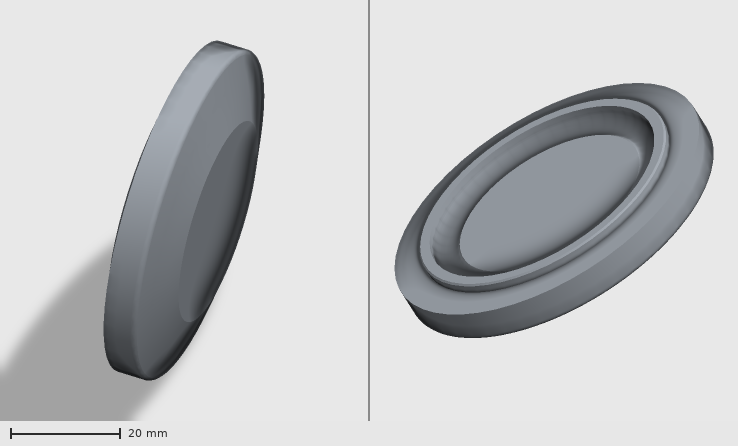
import cadquery as cq

total_depth = 11.5
flange_radius = 31.5
spigot_radius = 25.5
spigot_depth = 1.8
spigot_chamfer = 0.3
cone_start_x = 7.9
cone_end_radius = 19.15
shoulder_fillet = 1.0

recess_radius = 23.25
wall_depth = 1.3
floor_radius = 18.6
floor_depth = 2.9


def revolve_about_x(profile):
    return profile.close().revolve(360, (0, 0, 0), (1, 0, 0))


def make_body():
    body = revolve_about_x(
        cq.Workplane("XY")
        .moveTo(0, 0)
        .lineTo(0, spigot_radius - spigot_chamfer)
        .lineTo(spigot_chamfer, spigot_radius)
        .lineTo(spigot_depth, spigot_radius)
        .lineTo(spigot_depth, flange_radius)
        .lineTo(cone_start_x, flange_radius)
        .lineTo(total_depth, cone_end_radius)
        .lineTo(total_depth, 0)
    )
    flange_rims = body.edges(cq.selectors.RadiusNthSelector(-1))
    shoulder = flange_rims.sort(lambda rim: rim.Center().x).last()
    return shoulder.fillet(shoulder_fillet)


def make_recess():
    return revolve_about_x(
        cq.Workplane("XY")
        .moveTo(0, 0)
        .lineTo(0, recess_radius)
        .lineTo(wall_depth, recess_radius)
        .tangentArcPoint((floor_depth, floor_radius), relative=False)
        .lineTo(floor_depth, 0)
    )


result = make_body().cut(make_recess())